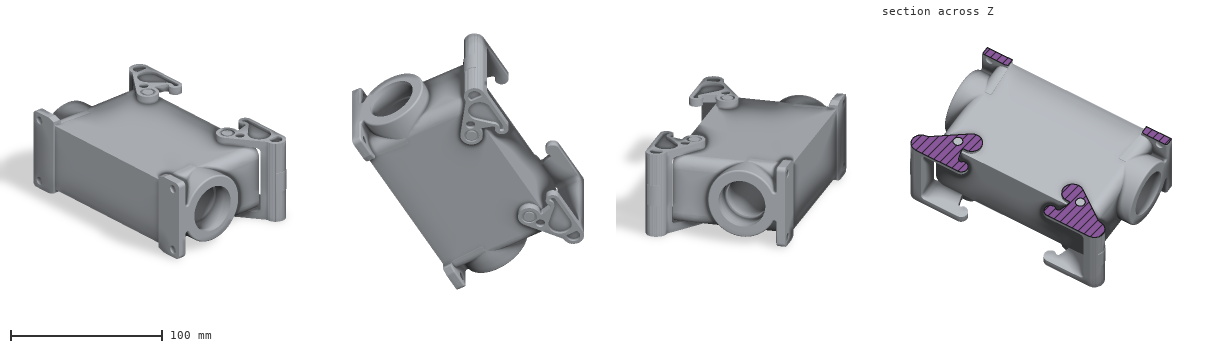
import cadquery as cq
import math


BODY_BOTTOM_Y = 1.0
BODY_TOP_Y = 80.5
BODY_TOP_HALF_X = 61.5
BODY_TOP_HALF_Z = 23.2
BODY_DRAFT = 0.3
BODY_CORNER_R = 7.5

POST_TOP_Y = 30.5
POST_HALF_X = 60.6
POST_HALF_Z = 23.85
POST_TOP_INNER_X = 49.7
POST_BOTTOM_INNER_X = 51.6

END_X = 71.9
ENTRY_Y = 29.7
ENTRY_R = 23.55
ENTRY_INNER_X = 53.0
COUNTERBORE_R = 16.1
COUNTERBORE_DEPTH = 14.3
BORE_R = 14.1
PAD_INNER_X = 51.9
PAD_HALF_Z = 28.1
PAD_TOP_Y = 6.4
PAD_CORNER_R = 3.0
PAD_CHAMFER_X = 4.8
PAD_CHAMFER_Z = 1.6
PAD_BLEND_R = 3.4
NOTCH_R = 1.2
EDGE_R = 1.2
MOUNT_HOLE_X = 65.9
MOUNT_HOLE_Z = 22.5
MOUNT_HOLE_D = 5.6

LEVER_TOP_Y = 96.9
LEVER_HALF_Z = 29.0
ARM_INNER_Z = 23.75
WINDOW_X = 63.0
WINDOW_R = 3.0
LOWER_EDGE_ANGLE = 36.2
GRIP_R = 7.0
GRIP_X = 67.2
GRIP_Y = LEVER_TOP_Y - GRIP_R
GRIP_BLEND_R = 3.0
TIP_R = 4.6
TIP_X = 34.65
PIVOT_X = 39.2
PIVOT_Y = 72.1
PIVOT_R = 7.4
THROAT_X = 41.3
THROAT_TOP_Y = 81.4
SLOT_START = (-36.0, 87.9)
SLOT_MIDDLE = (-37.6, 89.1)
SLOT_END = (-39.4, 87.9)

PIN_R = 3.6
PIN_GROOVE_R = 5.1
PIN_GROOVE_DEPTH = 1.0
ARM_HOLE_D = 6.2
ARM_HOLE_DEPTH = 2.8
ARM_HOLE = (-47.5, 75.9)
POCKET_DEPTH = 2.3
POCKET_X = 54.6
POCKET_R = 7.7
POCKET_WALL = 2.4
POCKET_TOP_Y = LEVER_TOP_Y - POCKET_WALL
POCKET_DIAGONAL = 45.0
POCKET_TIP_X = 34.2
POCKET_TIP_MIDDLE = (-32.5, 92.4)
POCKET_TIP_END = (-33.9, 90.4)
POCKET_BEND_MIDDLE = (-37.1, 91.6)
POCKET_BEND_END = (-41.1, 89.3)
GRIP_POCKET_R = 4.5
GRIP_POCKET_FLAT_X = 64.7
GROOVE_R = 0.15
GROOVE_PITCH = 9.0
GROOVE_COUNT = 19
PLATE_HEIGHT = 0.35
PLATE_HALF_Z = 7.2
PLATE_HALF_ANGLE = 39.0


def polar(x, y, radius, degrees):
    """Point on a circle round (x, y)."""
    angle = math.radians(degrees)
    return (x + radius * math.cos(angle), y + radius * math.sin(angle))


def on_both_ends(shape):
    """The shape together with its mirror image at the other end."""
    return shape.union(shape.mirror("YZ"))


def make_body():
    """Drafted block with rounded ends, cut back at both ends below the step."""
    outline = cq.Sketch().rect(2 * BODY_TOP_HALF_X, 2 * BODY_TOP_HALF_Z)
    outline = outline.vertices().fillet(BODY_CORNER_R)
    body = (
        cq.Workplane("XZ", origin=(0, BODY_TOP_Y, 0))
        .placeSketch(outline)
        .extrude(BODY_TOP_Y - BODY_BOTTOM_Y, taper=-BODY_DRAFT)
    )
    end_length = 2 * (END_X - PAD_INNER_X)
    end = cq.Workplane("XY").box(end_length, POST_TOP_Y, 2 * LEVER_HALF_Z)
    end = end.translate((-PAD_INNER_X - end_length / 2, POST_TOP_Y / 2, 0))
    return body.cut(on_both_ends(end))


def make_post():
    """Lower end of the body, slightly proud of it, with a slanted inner side."""
    return (
        cq.Workplane("XY")
        .polyline([
            (-POST_HALF_X, BODY_BOTTOM_Y),
            (-POST_HALF_X, POST_TOP_Y),
            (-POST_TOP_INNER_X, POST_TOP_Y),
            (-POST_BOTTOM_INNER_X, BODY_BOTTOM_Y),
        ])
        .close()
        .extrude(POST_HALF_Z, both=True)
        .edges("<X and |Y")
        .fillet(BODY_CORNER_R)
    )


def make_foot():
    """Cable entry boss blended into the mounting pad below it."""
    chamfer_x = PAD_INNER_X + PAD_CHAMFER_X
    chamfer_z = PAD_HALF_Z - PAD_CHAMFER_Z
    pad = (
        cq.Workplane("XZ")
        .polyline([
            (-END_X, -PAD_HALF_Z),
            (-chamfer_x, -PAD_HALF_Z),
            (-PAD_INNER_X, -chamfer_z),
            (-PAD_INNER_X, chamfer_z),
            (-chamfer_x, PAD_HALF_Z),
            (-END_X, PAD_HALF_Z),
        ])
        .close()
        .extrude(-PAD_TOP_Y)
        .edges("<X and |Y")
        .fillet(PAD_CORNER_R)
    )
    for side in (-1, 1):
        corner = cq.selectors.NearestToPointSelector((-chamfer_x, PAD_TOP_Y / 2, side * PAD_HALF_Z))
        pad = pad.edges("|Y").edges(corner).fillet(PAD_BLEND_R)
    boss = (
        cq.Workplane("YZ", origin=(-END_X, ENTRY_Y, 0))
        .circle(ENTRY_R)
        .extrude(END_X - ENTRY_INNER_X)
    )
    notch_z = math.sqrt((ENTRY_R + NOTCH_R) ** 2 - (ENTRY_Y - PAD_TOP_Y - NOTCH_R) ** 2)
    touch = ENTRY_R / (ENTRY_R + NOTCH_R)
    touch_y = ENTRY_Y - touch * (ENTRY_Y - PAD_TOP_Y - NOTCH_R)
    touch_z = touch * notch_z
    neck = (
        cq.Workplane("YZ", origin=(-END_X, 0, 0))
        .moveTo(PAD_TOP_Y / 2, -notch_z)
        .lineTo(PAD_TOP_Y, -notch_z)
        .threePointArc(
            polar(PAD_TOP_Y + NOTCH_R, -notch_z, NOTCH_R, 120),
            (touch_y, -touch_z),
        )
        .lineTo(ENTRY_Y, 0)
        .lineTo(touch_y, touch_z)
        .threePointArc(
            polar(PAD_TOP_Y + NOTCH_R, notch_z, NOTCH_R, -120),
            (PAD_TOP_Y, notch_z),
        )
        .lineTo(PAD_TOP_Y / 2, notch_z)
        .close()
        .extrude(END_X - ENTRY_INNER_X)
    )
    foot = boss.union(pad).union(neck).clean()
    above_mounting_face = cq.selectors.BoxSelector(
        (-END_X - EDGE_R, BODY_BOTTOM_Y, -LEVER_HALF_Z),
        (-END_X + EDGE_R, LEVER_TOP_Y, LEVER_HALF_Z),
    )
    return foot.edges(above_mounting_face).edges("#X").fillet(EDGE_R)


def lever_outline():
    """Outline of an arm, and the point where its straight lower edge meets the grip."""
    normal = 270 - LOWER_EDGE_ANGLE
    pivot_touch = polar(-PIVOT_X, PIVOT_Y, PIVOT_R, normal)
    unit = polar(0, 0, 1, normal)
    depth = (pivot_touch[0] + GRIP_X) * unit[0] + (pivot_touch[1] - GRIP_Y) * unit[1]
    grip_meet = polar(-GRIP_X, GRIP_Y, GRIP_R, normal + math.degrees(math.acos(depth / GRIP_R)))
    tip_y = LEVER_TOP_Y - TIP_R
    outline = (
        cq.Workplane("XY")
        .moveTo(-GRIP_X, LEVER_TOP_Y)
        .lineTo(-TIP_X, LEVER_TOP_Y)
        .threePointArc((-TIP_X + TIP_R, tip_y), (-TIP_X, tip_y - TIP_R))
        .lineTo(*SLOT_START)
        .threePointArc(SLOT_MIDDLE, SLOT_END)
        .lineTo(-THROAT_X, THROAT_TOP_Y)
        .lineTo(-THROAT_X, PIVOT_Y + PIVOT_R)
        .lineTo(-PIVOT_X, PIVOT_Y + PIVOT_R)
        .threePointArc((-PIVOT_X + PIVOT_R, PIVOT_Y), pivot_touch)
        .lineTo(*grip_meet)
        .threePointArc((-GRIP_X - GRIP_R, GRIP_Y), (-GRIP_X, LEVER_TOP_Y))
        .close()
    )
    return outline, grip_meet


def make_lever_blank():
    """U-shaped lever: two hooked arms joined by the grip."""
    outline, grip_meet = lever_outline()
    lever = (
        outline.extrude(LEVER_HALF_Z, both=True)
        .edges(cq.selectors.NearestToPointSelector((*grip_meet, 0)))
        .fillet(GRIP_BLEND_R)
    )
    window = (
        cq.Workplane("XY")
        .box(WINDOW_X, 2 * LEVER_TOP_Y, 2 * ARM_INNER_Z)
        .translate((-WINDOW_X / 2, LEVER_TOP_Y, 0))
        .edges("<X and |Y")
        .fillet(WINDOW_R)
    )
    return lever.cut(window)


def arm_pockets():
    """Recesses and blind hole in the outer face of one arm."""
    pocket_y = POCKET_TOP_Y - POCKET_R
    face = cq.Workplane("XY", origin=(0, 0, LEVER_HALF_Z - POCKET_DEPTH))
    hook_pocket = (
        face.moveTo(-POCKET_X, POCKET_TOP_Y)
        .lineTo(-POCKET_TIP_X, POCKET_TOP_Y)
        .threePointArc(POCKET_TIP_MIDDLE, POCKET_TIP_END)
        .threePointArc(POCKET_BEND_MIDDLE, POCKET_BEND_END)
        .lineTo(*polar(-POCKET_X, pocket_y, POCKET_R, -POCKET_DIAGONAL))
        .threePointArc((-POCKET_X - POCKET_R, pocket_y), (-POCKET_X, POCKET_TOP_Y))
        .close()
        .extrude(POCKET_DEPTH)
    )
    flat_angle = math.degrees(math.acos((GRIP_X - GRIP_POCKET_FLAT_X) / GRIP_POCKET_R))
    grip_pocket = (
        face.moveTo(*polar(-GRIP_X, GRIP_Y, GRIP_POCKET_R, flat_angle))
        .threePointArc(
            (-GRIP_X - GRIP_POCKET_R, GRIP_Y),
            polar(-GRIP_X, GRIP_Y, GRIP_POCKET_R, -flat_angle),
        )
        .close()
        .extrude(POCKET_DEPTH)
    )
    pin_groove = (
        cq.Workplane("XY", origin=(-PIVOT_X, PIVOT_Y, LEVER_HALF_Z - PIN_GROOVE_DEPTH))
        .circle(PIN_GROOVE_R)
        .circle(PIN_R)
        .extrude(PIN_GROOVE_DEPTH)
    )
    hole = (
        cq.Workplane("XY", origin=(*ARM_HOLE, LEVER_HALF_Z - ARM_HOLE_DEPTH))
        .circle(ARM_HOLE_D / 2)
        .extrude(ARM_HOLE_DEPTH)
    )
    return hook_pocket.union(grip_pocket).union(pin_groove).union(hole)


def grip_grooves():
    """Fine grooves along the rounded outside of the grip."""
    first = 180 - GROOVE_PITCH * (GROOVE_COUNT - 1) / 2
    centres = [
        polar(-GRIP_X, GRIP_Y, GRIP_R, first + GROOVE_PITCH * index)
        for index in range(GROOVE_COUNT)
    ]
    return cq.Workplane("XY").pushPoints(centres).circle(GROOVE_R).extrude(LEVER_HALF_Z, both=True)


def grip_plate():
    """Raised name plate that follows the curve of the grip."""
    outer_r = GRIP_R + PLATE_HEIGHT
    inner_r = GRIP_R - 2 * GROOVE_R
    low = 180 + PLATE_HALF_ANGLE
    high = 180 - PLATE_HALF_ANGLE
    return (
        cq.Workplane("XY")
        .moveTo(*polar(-GRIP_X, GRIP_Y, outer_r, low))
        .threePointArc(
            polar(-GRIP_X, GRIP_Y, outer_r, 180),
            polar(-GRIP_X, GRIP_Y, outer_r, high),
        )
        .lineTo(*polar(-GRIP_X, GRIP_Y, inner_r, high))
        .threePointArc(
            polar(-GRIP_X, GRIP_Y, inner_r, 180),
            polar(-GRIP_X, GRIP_Y, inner_r, low),
        )
        .close()
        .extrude(PLATE_HALF_Z, both=True)
    )


def make_lever():
    """Lever with its recesses, grip grooves and name plate."""
    pockets = arm_pockets()
    return (
        make_lever_blank()
        .cut(pockets.union(pockets.mirror("XY")))
        .cut(grip_grooves())
        .union(grip_plate())
    )


def make_pivot_pin():
    """Pin that runs through the body and holds both arms of a lever."""
    return (
        cq.Workplane("XY")
        .pushPoints([(-PIVOT_X, PIVOT_Y)])
        .circle(PIN_R)
        .extrude(LEVER_HALF_Z, both=True)
    )


def entry_bore():
    """Bore from one end to the middle, counterbored from the end face."""
    end_face = cq.Workplane("YZ", origin=(-END_X, ENTRY_Y, 0))
    bore = end_face.circle(BORE_R).extrude(END_X)
    counterbore = end_face.circle(COUNTERBORE_R).extrude(COUNTERBORE_DEPTH)
    return bore.union(counterbore)


def mounting_holes():
    """Screw holes through one pad."""
    return (
        cq.Workplane("XZ")
        .pushPoints([(-MOUNT_HOLE_X, MOUNT_HOLE_Z), (-MOUNT_HOLE_X, -MOUNT_HOLE_Z)])
        .circle(MOUNT_HOLE_D / 2)
        .extrude(-PAD_TOP_Y)
    )


housing = make_body().union(on_both_ends(make_post().union(make_foot())))
housing = housing.cut(on_both_ends(entry_bore().union(mounting_holes())))
result = housing.union(on_both_ends(make_lever().union(make_pivot_pin())))